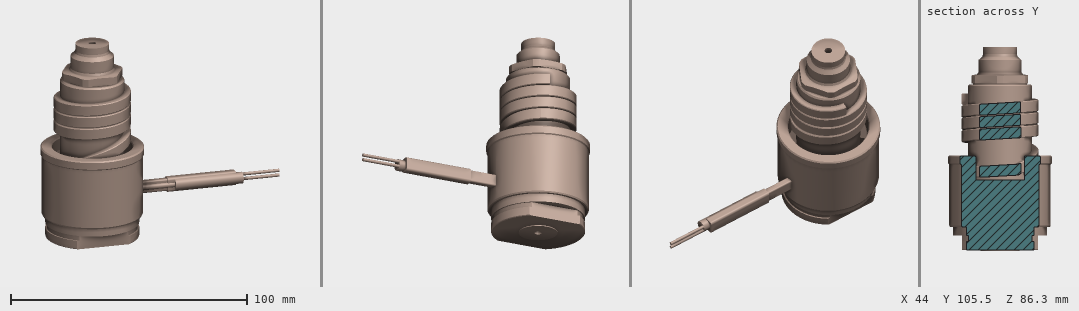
import cadquery as cq
import math

total_height = 86.3
foot_radius, foot_top = 8.2, 0.3
base_radius, base_top, base_chamfer = 19.9, 4.2, 0.3
base_flats = 32.1
base_neck_radius, base_neck_top = 19.3, 6.4
ring_top = 10.1
housing_radius, housing_chamfer = 21.5, 0.6
flange_radius, flange_bottom, flange_top = 22.0, 37.0, 40.5
flange_chamfer = 0.5

pocket_radius, pocket_floor, pocket_chamfer = 17.1, 30.2, 0.4

shaft_radius, shaft_top, shaft_chamfer = 13.6, 70.5, 0.6
hex_neck_radius, hex_bottom = 11.4, 71.0
hex_flats, hex_corner_radius, hex_rim_z = 24.0, 13.13, 74.2
hex_cone_radius, hex_cone_z = 9.8, 74.8
shoulder_radius, shoulder_bottom, shoulder_top = 9.2, 75.6, 80.8
tip_radius, tip_root_radius = 7.2, 7.5
tip_root_z, tip_straight_z = 82.4, 83.3
bore_diameter = 3.2

spring_radius, spring_height, spring_edge = 16.4, 4.9, 0.3
spring_embed = 1.1
spring_pitch = 5.3
spring_end_angle, spring_end_top = 172.0, 66.7
full_turn = 360.0
coil_sweep = 3 * full_turn + 14.0
descent_sweep, descent_drop = 220.0, 13.7
seat_sweep = 75.0
path_step_angle, fewest_path_points = 15.0, 8

cable_z = 19.3
cable_start = 14.8
cable_center_x, cable_width, cable_height, cable_fillet = -1.4, 3.0, 5.3, 0.6
clamp_center_x, clamp_width, clamp_height, clamp_fillet = -1.42, 4.1, 6.2, 1.1
clamp_start, clamp_end = 33.4, 63.7
core_radius = 1.2
sleeve_radius, sleeve_start, sleeve_end = 2.48, 36.5, 66.6
wire_x, wire_radius, wire_spacing = -1.42, 0.69, 2.1
cable_end = 105.5 - flange_radius


def turned(points):
    """Solid of revolution about Z from (radius, height) points."""
    return cq.Workplane("XZ").polyline(points).close().revolve(360, (0, 0, 0), (0, 1, 0))


def cylinder(radius, bottom, top):
    """Upright cylinder on the Z axis."""
    return cq.Workplane("XY").workplane(offset=bottom).circle(radius).extrude(top - bottom)


def make_base():
    """Foot and grooved base disc, with two wrench flats facing +X and -X."""
    disc = cylinder(base_radius, foot_top, base_top).faces("<Z").edges().chamfer(base_chamfer)
    disc = disc.union(cylinder(base_neck_radius, base_top, base_neck_top))
    flats = cq.Workplane("XY").box(base_flats, 2 * flange_radius, 2 * base_neck_top)
    return disc.intersect(flats).union(cylinder(foot_radius, 0, foot_top))


def make_housing():
    """Housing cup with its lower ring, top flange and annular pocket."""
    chamfered_radius = housing_radius - housing_chamfer / 2
    flange_step = flange_radius - housing_radius
    return turned([
        (0, base_neck_top),
        (base_radius, base_neck_top),
        (base_radius, ring_top),
        (chamfered_radius, ring_top),
        (housing_radius, ring_top + housing_chamfer),
        (housing_radius, flange_bottom - flange_step),
        (flange_radius, flange_bottom),
        (flange_radius, flange_top - flange_chamfer),
        (flange_radius - flange_chamfer, flange_top),
        (pocket_radius + pocket_chamfer, flange_top),
        (pocket_radius, flange_top - pocket_chamfer),
        (pocket_radius, pocket_floor),
        (0, pocket_floor),
    ])


def make_shaft():
    """Shaft standing in the pocket, the collar neck and the stepped tip."""
    return turned([
        (0, pocket_floor),
        (shaft_radius, pocket_floor),
        (shaft_radius, shaft_top - shaft_chamfer),
        (shaft_radius - shaft_chamfer, shaft_top),
        (hex_neck_radius, shaft_top),
        (hex_neck_radius, hex_bottom),
        (hex_cone_radius, hex_bottom),
        (hex_cone_radius, hex_cone_z),
        (shoulder_radius, shoulder_bottom),
        (shoulder_radius, shoulder_top),
        (tip_root_radius, tip_root_z),
        (tip_radius, tip_straight_z),
        (tip_radius, total_height),
        (0, total_height),
    ])


def make_hex_collar():
    """Hexagon with flats facing +X and -X, rounded corners and a conical top."""
    blank = turned([
        (0, hex_bottom),
        (hex_corner_radius, hex_bottom),
        (hex_corner_radius, hex_rim_z),
        (hex_cone_radius, hex_cone_z),
        (0, hex_cone_z),
    ])
    hexagon = (
        cq.Workplane("XY").workplane(offset=hex_bottom)
        .polygon(6, hex_flats, circumscribed=True)
        .extrude(hex_cone_z - hex_bottom)
    )
    return blank.intersect(hexagon)


def spring_turn(start_angle, top_z, sweep, drop, extra=0.0):
    """Sweep the flat wire downward from start_angle, clockwise seen from above.

    The wire falls evenly by drop, plus by extra growing with the square of the turned angle.
    """
    inner_radius = shaft_radius - spring_embed
    mid_radius = (inner_radius + spring_radius) / 2

    def center(t, lift=0.0):
        angle = math.radians(start_angle - sweep * t)
        height = top_z - spring_height / 2 - drop * t - extra * t * t
        return (mid_radius * math.cos(angle), mid_radius * math.sin(angle), height + lift)

    angle = math.radians(start_angle)
    section_plane = cq.Plane(
        origin=center(0),
        xDir=(math.cos(angle), math.sin(angle), 0),
        normal=(math.sin(angle), -math.cos(angle), 0),
    )
    points = max(fewest_path_points, round(sweep / path_step_angle))
    path = cq.Workplane("XY").parametricCurve(center, N=points)
    upright_guide = cq.Workplane("XY").parametricCurve(lambda t: center(t, spring_height), N=points)
    section = cq.Sketch().rect(spring_radius - inner_radius, spring_height).vertices().chamfer(spring_edge)
    return cq.Workplane(section_plane).placeSketch(section).sweep(path, auxSpine=upright_guide)


def make_spring():
    """Even coils, a steepening descent into the pocket, and a seat coil inside it."""
    coil_drop = spring_pitch * coil_sweep / full_turn
    coils = spring_turn(spring_end_angle, spring_end_top, coil_sweep, coil_drop)

    descent_angle = spring_end_angle - coil_sweep
    descent_top = spring_end_top - coil_drop
    even_drop = spring_pitch * descent_sweep / full_turn
    descent = spring_turn(descent_angle, descent_top, descent_sweep, even_drop, descent_drop - even_drop)

    seat_drop = spring_pitch * seat_sweep / full_turn
    seat = spring_turn(descent_angle - descent_sweep, descent_top - descent_drop, seat_sweep, seat_drop)
    return [coils, descent, seat]


def cable_plane(x, y, z=cable_z):
    """Workplane across the cable, with its normal along +Y."""
    return cq.Workplane(cq.Plane(origin=(x, y, z), xDir=(1, 0, 0), normal=(0, 1, 0)))


def rounded_bar(x, width, height, fillet, start, end):
    """Rectangular bar along Y with its long edges rounded."""
    return cable_plane(x, start).rect(width, height).extrude(end - start).edges("|Y").fillet(fillet)


def round_bar(x, z, radius, start, end):
    """Cylinder along Y."""
    return cable_plane(x, start, z).circle(radius).extrude(end - start)


def make_cable():
    """Flat cable and core, the clamp and sleeve round them, and two wire ends."""
    parts = [
        rounded_bar(cable_center_x, cable_width, cable_height, cable_fillet, cable_start, clamp_end),
        rounded_bar(clamp_center_x, clamp_width, clamp_height, clamp_fillet, clamp_start, clamp_end),
        round_bar(0, cable_z, core_radius, cable_start, sleeve_end),
        round_bar(0, cable_z, sleeve_radius, sleeve_start, sleeve_end),
    ]
    for side in (-1, 1):
        wire_z = cable_z + side * wire_spacing / 2
        parts.append(round_bar(wire_x, wire_z, wire_radius, clamp_end, cable_end))
    return parts


result = make_base()
for part in [make_housing(), make_shaft(), make_hex_collar(), *make_spring(), *make_cable()]:
    result = result.union(part, clean=False)
result = result.cut(cylinder(bore_diameter / 2, 0, total_height))